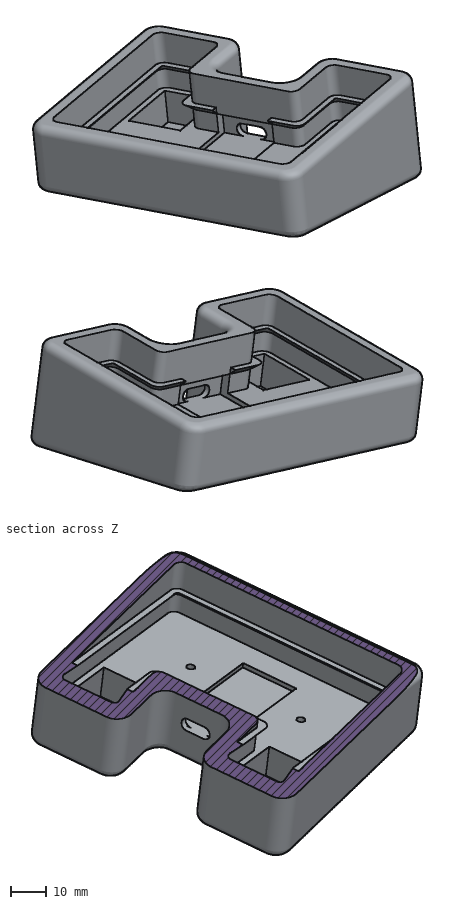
import cadquery as cq
import math

tilt_angle = 10.0
case_width = 88.2
case_length = 69.15
front_wall_height = 20.6
notch_width = 26.0
notch_start = 50.0
wall = 5.0
outer_radius = 5.0
edge_radius = 2.5

inner_radius = 2.5
lip_width = 2.0
lip_depth = 9.5
floor_depth = 17.5
lip_tip_radius = inner_radius - lip_width
lip_bottom = lip_depth + lip_width

recess_start = 42.2
recess_depth = 10.0

channel_width = 18.3
channel_start = 13.1
channel_depth = 1.5
port_web = 2.0

port_width = 9.7
port_height = 4.0

hole_diameter = 2.5
counterbore_diameter = 5.0
hole_seat = 2.0
hole_spacing = 38.0
hole_y = 25.0

arm_width = (case_width - notch_width) / 2
arm_center = (notch_width + arm_width) / 2
channel_end = notch_start - port_web
bottom_z = -front_wall_height * math.cos(math.radians(tilt_angle))
overshoot = 17.6
rear_wall_height = front_wall_height + case_length * math.tan(math.radians(tilt_angle))
block_depth = rear_wall_height + overshoot


def u_outline(inset, concave_radius, convex_radius, depth):
    """U-shaped wire inset from the outer walls, lying at a depth below the top face.

    concave_radius rounds the six corners of the two arms, convex_radius the two
    corners at the foot of the notch.
    """
    half = case_width / 2 - inset
    notch_half = notch_width / 2 + inset
    back = case_length - inset
    foot = notch_start - inset
    corners = [
        (-half, inset, concave_radius),
        (half, inset, concave_radius),
        (half, back, concave_radius),
        (notch_half, back, concave_radius),
        (notch_half, foot, convex_radius),
        (-notch_half, foot, convex_radius),
        (-notch_half, back, concave_radius),
        (-half, back, concave_radius),
    ]
    outline = cq.Workplane("XY", origin=(0, 0, -depth))
    for index, (x, y, radius) in enumerate(corners):
        before = corners[index - 1]
        after = corners[(index + 1) % len(corners)]
        to_before = cq.Vector(before[0] - x, before[1] - y).normalized()
        to_after = cq.Vector(after[0] - x, after[1] - y).normalized()
        corner = cq.Vector(x, y)
        start = corner + to_before * radius
        end = corner + to_after * radius
        middle = corner + (to_before + to_after) * (radius * (1 - math.sqrt(0.5)))
        if index == 0:
            outline = outline.moveTo(start.x, start.y)
        else:
            outline = outline.lineTo(start.x, start.y)
        outline = outline.threePointArc((middle.x, middle.y), (end.x, end.y))
    return outline.close()


def box_cut(width, y_start, y_end, top_depth, bottom_depth, x_center=0.0):
    """Box given by its width, its y range and its depths below the top face."""
    return (
        cq.Workplane("XY", origin=(x_center, (y_start + y_end) / 2, -bottom_depth))
        .rect(width, y_end - y_start)
        .extrude(bottom_depth - top_depth)
    )


def tilted(body):
    """Turn a body from the sloped frame to the level one."""
    return body.rotate((0, 0, 0), (1, 0, 0), tilt_angle)


def make_shell_body():
    """Solid U-shaped wedge with rounded top and bottom rims."""
    block = u_outline(0, outer_radius, outer_radius, 0).extrude(-block_depth)
    block = block.faces(">Z").edges().fillet(edge_radius)
    below = (
        cq.Workplane("XY", origin=(0, case_length / 2, bottom_z - 2 * block_depth))
        .rect(2 * case_width, 3 * case_length)
        .extrude(2 * block_depth)
    )
    return tilted(block).cut(below).faces("<Z").edges().fillet(edge_radius)


def make_cavity():
    """Stepped cavity: cover opening, knife-edged lip, then the main pocket."""
    opening = u_outline(wall, inner_radius, inner_radius, 0).extrude(-lip_depth)
    upper = u_outline(wall + lip_width, lip_tip_radius, inner_radius, lip_depth).wires().val()
    lower = u_outline(wall, inner_radius, inner_radius, lip_bottom).wires().val()
    throat = cq.Workplane(cq.Solid.makeLoft([upper, lower], True))
    pocket = u_outline(wall, inner_radius, inner_radius, lip_bottom).extrude(lip_bottom - floor_depth)
    return opening.union(throat).union(pocket)


def make_recesses():
    """Deep rectangular recess at the rear of each arm."""
    recesses = cq.Workplane("XY")
    for side in (-1, 1):
        recesses = recesses.union(
            box_cut(
                arm_width - 2 * (wall + lip_width),
                recess_start,
                case_length - wall - lip_width,
                floor_depth,
                floor_depth + recess_depth,
                side * arm_center,
            )
        )
    return recesses


def make_channel():
    """Floor channel that undercuts the notch wall and interrupts the lip above it."""
    bottom = floor_depth + channel_depth
    channel = box_cut(channel_width, channel_start, notch_start - wall, floor_depth, bottom)
    undercut = box_cut(channel_width, notch_start - wall, channel_end, lip_bottom, bottom)
    lip_gap = box_cut(
        channel_width, notch_start - wall - lip_width, notch_start - wall, lip_depth, floor_depth
    )
    return channel.union(undercut).union(lip_gap)


def make_port():
    """Rounded port through the web, its lower side flush with the channel floor."""
    center_depth = floor_depth + channel_depth - port_height / 2
    return (
        cq.Workplane("XZ", origin=(0, notch_start + port_web, -center_depth))
        .slot2D(port_width, port_height)
        .extrude(2 * port_web)
    )


def make_screw_holes():
    """Screw holes square to the floor, counterbored from the underside."""
    centers = [(-hole_spacing / 2, hole_y), (hole_spacing / 2, hole_y)]

    def drill(diameter, top_depth):
        return (
            cq.Workplane("XY", origin=(0, 0, -top_depth))
            .pushPoints(centers)
            .circle(diameter / 2)
            .extrude(top_depth - block_depth)
        )

    return drill(hole_diameter, floor_depth).union(drill(counterbore_diameter, floor_depth + hole_seat))


result = make_shell_body()
for cutter in (make_cavity(), make_recesses(), make_channel(), make_port(), make_screw_holes()):
    result = result.cut(tilted(cutter))
result = result.translate((0, 0, -bottom_z))